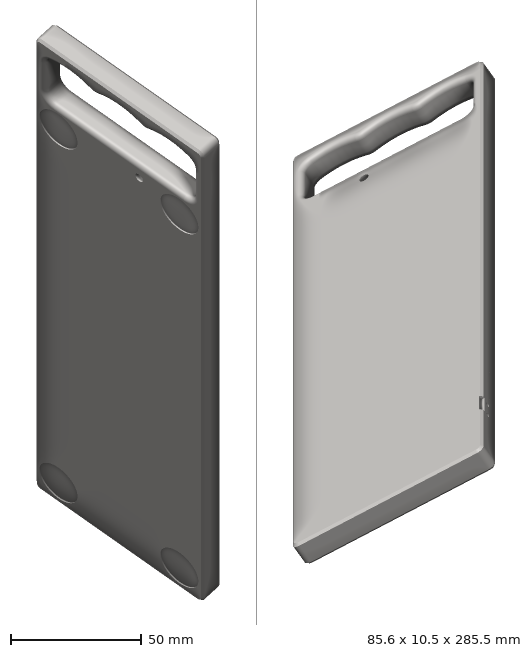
import cadquery as cq
import math

width = 85.6
thickness = 10.5
height = 285.5
corner_radius = 2.9
edge_chamfer = 1.0
front_y = -thickness / 2
back_y = thickness / 2

handle_half_width = 38.0
handle_bottom = 250.5
handle_top = 278.6
handle_corner_radius = 4.9
handle_edge_radius = 2.3
finger_pitch = 25.7
finger_drop = 2.5
knuckle_radius = 5.7

foot_diameter = 19.5
foot_depth = 0.5
foot_x = 30.8
foot_low_z = 12.5
foot_high_z = 237.5

hanging_hole_diameter = 4.0
hanging_hole_x = 10.3
hanging_hole_z = 242.7

side_holes = ((37.0, 2.0), (29.7, 1.57))
side_hole_y = 1.0
side_hole_depth = 2.9
notch_bottom = 29.0
notch_top = 38.8
notch_depth = 1.5
notch_width = 1.7


def front_plane(y):
    """Sketch plane at the given Y: local x is X, local y is Z, extruding toward -Y."""
    return cq.Workplane("XZ", origin=(0, y, 0))


def make_slab():
    slab = cq.Workplane("XY").box(width, thickness, height, centered=(True, True, False))
    slab = slab.edges("|Y").fillet(corner_radius)
    return slab.faces("<Y or >Y").chamfer(edge_chamfer)


def handle_outline():
    """Closed outline of the handle opening, drawn from the lower left corner clockwise."""
    side = handle_half_width
    half_pitch = finger_pitch / 2
    corner = handle_corner_radius

    radius_sum = (half_pitch**2 + finger_drop**2) / (2 * finger_drop)
    finger_radius = radius_sum - knuckle_radius
    finger_centre_z = handle_top - finger_radius
    join_x = half_pitch * finger_radius / radius_sum
    join_z = finger_centre_z + math.sqrt(finger_radius**2 - join_x**2)
    knuckle_z = handle_top - finger_drop

    corner_x = side - corner
    finger_to_corner = corner_x - finger_pitch
    corner_rise = math.sqrt((finger_radius - corner) ** 2 - finger_to_corner**2)
    corner_z = finger_centre_z + corner_rise
    reach = finger_radius / (finger_radius - corner)
    touch_x = finger_pitch + finger_to_corner * reach
    touch_z = finger_centre_z + corner_rise * reach

    outline = front_plane(back_y).moveTo(-side, handle_bottom + corner).lineTo(-side, corner_z)
    outline = outline.radiusArc((-touch_x, touch_z), corner)
    for finger_x in (-finger_pitch, 0, finger_pitch):
        if finger_x > -finger_pitch:
            outline = outline.threePointArc((finger_x - half_pitch, knuckle_z), (finger_x - join_x, join_z))
        finger_end = (touch_x, touch_z) if finger_x == finger_pitch else (finger_x + join_x, join_z)
        outline = outline.threePointArc((finger_x, handle_top), finger_end)
    return (
        outline.radiusArc((side, corner_z), corner)
        .lineTo(side, handle_bottom + corner)
        .radiusArc((corner_x, handle_bottom), corner)
        .lineTo(-corner_x, handle_bottom)
        .radiusArc((-side, handle_bottom + corner), corner)
        .close()
    )


def cut_handle(body):
    """Cut the opening through the slab and round its rim on the front and back faces."""
    body = body.cut(handle_outline().extrude(thickness))
    rims = [face.innerWires()[0] for face in body.faces("<Y or >Y").vals()]
    rim_edges = [edge for rim in rims for edge in rim.Edges()]
    return body.newObject(rim_edges).fillet(handle_edge_radius)


def foot_recesses():
    centres = [(x, z) for x in (-foot_x, foot_x) for z in (foot_low_z, foot_high_z)]
    return front_plane(front_y + foot_depth).pushPoints(centres).circle(foot_diameter / 2).extrude(foot_depth)


def hanging_hole():
    hole = front_plane(back_y).center(hanging_hole_x, hanging_hole_z)
    return hole.circle(hanging_hole_diameter / 2).extrude(thickness)


def side_hole(z, diameter):
    plane = cq.Workplane("YZ", origin=(-width / 2, side_hole_y, z))
    return plane.circle(diameter / 2).extrude(side_hole_depth)


def edge_notch():
    notch_height = notch_top - notch_bottom
    notch = cq.Workplane("XY").box(notch_depth, notch_width, notch_height, centered=False)
    return notch.translate((-width / 2, back_y - notch_width, notch_bottom))


result = cut_handle(make_slab())
result = result.cut(foot_recesses()).cut(hanging_hole()).cut(edge_notch())
for hole_z, hole_diameter in side_holes:
    result = result.cut(side_hole(hole_z, hole_diameter))